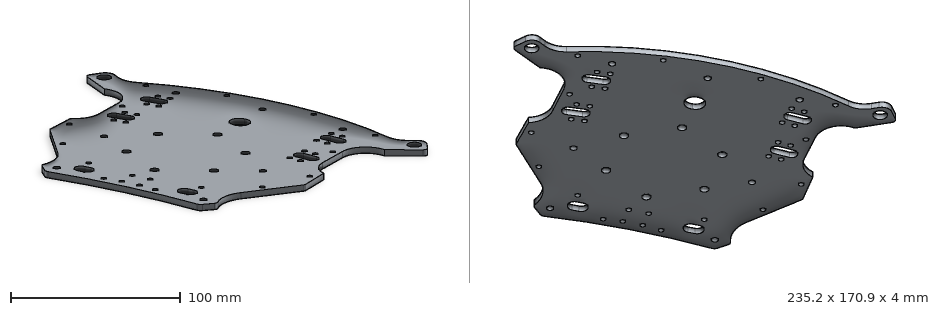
import cadquery as cq
import math

THICKNESS = 4.0

FRONT_Y = 85.5
FRONT_RADIUS = 254.0
REAR_Y = -82.5
REAR_CORNER = (53.5, -85.6)
REAR_CORNER_FILLET = 3.8

EAR_NECK_X = 94.0
EAR_TOP = (109.6, 77.2)
EAR_TIP = (118.8, 64.0)
EAR_NECK_FILLET = 15.5
EAR_TOP_FILLET = 6.0
EAR_TIP_FILLET = 2.8

WAIST_X = 77.6
WAIST_FRONT_Y = 35.0
WAIST_FRONT_RADIUS = 16.0
WAIST_FRONT_END_X = 97.2
WAIST_REAR_Y = 13.0
WAIST_REAR_RADIUS = 16.0
WAIST_REAR_END_X = 87.7

HIP = (88.5, -24.2)
TAIL_NECK = (56.2, -64.5)
TAIL_SIDE = (61.0, -77.9)
HIP_FILLET = 1.9
TAIL_NECK_FILLET = 21.0
TAIL_SIDE_FILLET = 2.8

SMALL_HOLE = 3.3
MEDIUM_HOLE = 4.2
LARGE_HOLE = 5.5
EAR_HOLE = 8.5
SIDE_HOLES = {
    SMALL_HOLE: [
        (30.0, 79.3), (79.5, 68.5), (73.0, 31.5), (83.3, -10.5), (69.2, -40.7),
        (39.0, -60.2), (6.0, -64.5), (6.0, -76.2), (17.9, -77.6),
    ],
    MEDIUM_HOLE: [(57.9, 67.0), (55.0, -17.5), (50.8, -77.0)],
    LARGE_HOLE: [(30.3, 2.8), (30.3, -32.2)],
    EAR_HOLE: [(107.5, 67.0)],
}
CENTER_HOLES = {
    MEDIUM_HOLE: [(0, 70.5)],
    LARGE_HOLE: [(0, 20.5), (0, -49.6)],
}

CENTER_SLOT_Y = 45.5
CENTER_SLOT_LENGTH = 12.7
CENTER_SLOT_WIDTH = 11.8
TAIL_SLOT_CENTER = (35.8, -70.5)
TAIL_SLOT_LENGTH = 12.5
TAIL_SLOT_WIDTH = 8.2

STATION_CENTERS = [(62.0, 49.6), (64.2, 16.2)]
STATION_TILT = -5.0
STATION_SLOT_LENGTH = 17.0
STATION_SLOT_WIDTH = 7.3
STATION_HOLES_X = (-6.8, 1.2)
STATION_HOLES_Y = 7.3


def mirrored(point):
    return (-point[0], point[1])


def front_edge_y(x):
    """Y position of the front arc at a given x."""
    return FRONT_Y - FRONT_RADIUS + math.sqrt(FRONT_RADIUS**2 - x**2)


def waist_arc(start_y, radius, end_x, direction):
    """Middle and end of a waist arc that leaves the straight side tangentially.

    direction is +1 for an arc that runs forward (+Y) and -1 for one that runs rearward.
    """
    center_x = WAIST_X + radius
    end_angle = math.acos((center_x - end_x) / radius)

    def on_arc(angle):
        return (center_x - radius * math.cos(angle), start_y + direction * radius * math.sin(angle))

    return on_arc(end_angle / 2), on_arc(end_angle)


def make_plate():
    ear_neck = (EAR_NECK_X, front_edge_y(EAR_NECK_X))
    front_mid, front_end = waist_arc(WAIST_FRONT_Y, WAIST_FRONT_RADIUS, WAIST_FRONT_END_X, 1)
    rear_mid, rear_end = waist_arc(WAIST_REAR_Y, WAIST_REAR_RADIUS, WAIST_REAR_END_X, -1)
    waist_front = (WAIST_X, WAIST_FRONT_Y)
    waist_rear = (WAIST_X, WAIST_REAR_Y)

    plate = (
        cq.Workplane("XY")
        .moveTo(*mirrored(ear_neck))
        .threePointArc((0, FRONT_Y), ear_neck)
        .lineTo(*EAR_TOP)
        .lineTo(*EAR_TIP)
        .lineTo(*front_end)
        .threePointArc(front_mid, waist_front)
        .lineTo(*waist_rear)
        .threePointArc(rear_mid, rear_end)
        .lineTo(*HIP)
        .lineTo(*TAIL_NECK)
        .lineTo(*TAIL_SIDE)
        .lineTo(*REAR_CORNER)
        .threePointArc((0, REAR_Y), mirrored(REAR_CORNER))
        .lineTo(*mirrored(TAIL_SIDE))
        .lineTo(*mirrored(TAIL_NECK))
        .lineTo(*mirrored(HIP))
        .lineTo(*mirrored(rear_end))
        .threePointArc(mirrored(rear_mid), mirrored(waist_rear))
        .lineTo(*mirrored(waist_front))
        .threePointArc(mirrored(front_mid), mirrored(front_end))
        .lineTo(*mirrored(EAR_TIP))
        .lineTo(*mirrored(EAR_TOP))
        .close()
        .extrude(THICKNESS)
    )

    corner_fillets = [
        (ear_neck, EAR_NECK_FILLET),
        (EAR_TOP, EAR_TOP_FILLET),
        (EAR_TIP, EAR_TIP_FILLET),
        (HIP, HIP_FILLET),
        (TAIL_NECK, TAIL_NECK_FILLET),
        (TAIL_SIDE, TAIL_SIDE_FILLET),
        (REAR_CORNER, REAR_CORNER_FILLET),
    ]
    for corner, radius in corner_fillets:
        for x, y in (corner, mirrored(corner)):
            nearest_edge = cq.selectors.NearestToPointSelector((x, y, THICKNESS / 2))
            plate = plate.edges("|Z").edges(nearest_edge).fillet(radius)
    return plate


def both_sides(points):
    return points + [mirrored(point) for point in points]


def cut_holes(body, diameter, points):
    cutter = cq.Workplane("XY").pushPoints(points).circle(diameter / 2).extrude(THICKNESS)
    return body.cut(cutter)


def cut_slots(body, points, length, width):
    cutter = cq.Workplane("XY").pushPoints(points).slot2D(length, width).extrude(THICKNESS)
    return body.cut(cutter)


def make_station_cutter(center):
    """Slot and hole pattern of one +X servo station."""
    hole_points = [(x, y) for x in STATION_HOLES_X for y in (-STATION_HOLES_Y, STATION_HOLES_Y)]
    slot = cq.Workplane("XY").slot2D(STATION_SLOT_LENGTH, STATION_SLOT_WIDTH).extrude(THICKNESS)
    holes = cq.Workplane("XY").pushPoints(hole_points).circle(SMALL_HOLE / 2).extrude(THICKNESS)
    pattern = slot.union(holes)
    return pattern.rotate((0, 0, 0), (0, 0, 1), STATION_TILT).translate((center[0], center[1], 0))


result = make_plate()

for hole_diameter, hole_centers in SIDE_HOLES.items():
    result = cut_holes(result, hole_diameter, both_sides(hole_centers))
for hole_diameter, hole_centers in CENTER_HOLES.items():
    result = cut_holes(result, hole_diameter, hole_centers)

result = cut_slots(result, [(0, CENTER_SLOT_Y)], CENTER_SLOT_LENGTH, CENTER_SLOT_WIDTH)
result = cut_slots(result, both_sides([TAIL_SLOT_CENTER]), TAIL_SLOT_LENGTH, TAIL_SLOT_WIDTH)

for station_center in STATION_CENTERS:
    station = make_station_cutter(station_center)
    result = result.cut(station).cut(station.mirror("YZ"))